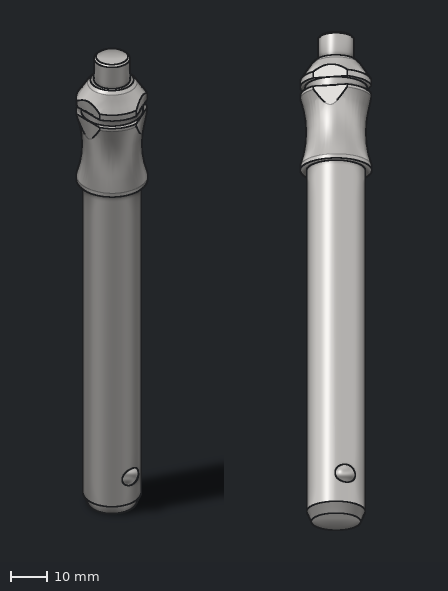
import cadquery as cq

total_length = 143.5
head_radius = 9.97

shank_radius = 8.2
tip_radius = 6.9
tip_length = 3.0

grip_bottom = 104.0
grip_top = 126.1
bottom_rim_height = 1.3
top_rim_height = 0.9
waist_radius = 8.3

groove_radius = 8.6
groove_width = 2.5

cap_bottom = grip_top + groove_width
cap_rim_height = 1.9
cone_top = 135.2
cone_top_radius = 6.9
cap_top = 136.0
cap_top_radius = 6.0

button_radius = 5.0
button_chamfer = 0.6

flat_distance = 8.8
flat_count = 3
first_flat_angle = -90.0

ball_radius = 3.3
ball_protrusion = 1.3
ball_height = 11.5


def turned_body():
    """Revolve the half profile of shank, grip, cap and button about Z."""
    waist_start = grip_bottom + bottom_rim_height
    waist_end = grip_top - top_rim_height
    waist_middle = (waist_start + waist_end) / 2
    return (
        cq.Workplane("XZ")
        .lineTo(tip_radius, 0)
        .lineTo(shank_radius, tip_length)
        .lineTo(shank_radius, grip_bottom)
        .lineTo(head_radius, grip_bottom)
        .lineTo(head_radius, waist_start)
        .threePointArc((waist_radius, waist_middle), (head_radius, waist_end))
        .lineTo(head_radius, grip_top)
        .lineTo(groove_radius, grip_top)
        .lineTo(groove_radius, cap_bottom)
        .lineTo(head_radius, cap_bottom)
        .lineTo(head_radius, cap_bottom + cap_rim_height)
        .lineTo(cone_top_radius, cone_top)
        .lineTo(cap_top_radius, cap_top)
        .lineTo(button_radius, cap_top)
        .lineTo(button_radius, total_length - button_chamfer)
        .lineTo(button_radius - button_chamfer, total_length)
        .lineTo(0, total_length)
        .close()
        .revolve(360, (0, 0, 0), (0, 1, 0))
    )


def flat_cutter(angle):
    """Block removing everything beyond one flat, from the waist up to the cap top."""
    depth = head_radius
    width = 2 * head_radius
    bottom = grip_bottom + (grip_top - grip_bottom) / 2
    return (
        cq.Workplane("XY", origin=(0, 0, bottom))
        .center(flat_distance + depth / 2, 0)
        .rect(depth, width)
        .extrude(cap_top - bottom)
        .rotate((0, 0, 0), (0, 0, 1), angle)
    )


def locking_ball(side):
    ball_offset = shank_radius + ball_protrusion - ball_radius
    return cq.Workplane("XY").sphere(ball_radius).translate((side * ball_offset, 0, ball_height))


result = turned_body()

for index in range(flat_count):
    result = result.cut(flat_cutter(first_flat_angle + index * 360 / flat_count))

for side in (-1, 1):
    result = result.union(locking_ball(side))